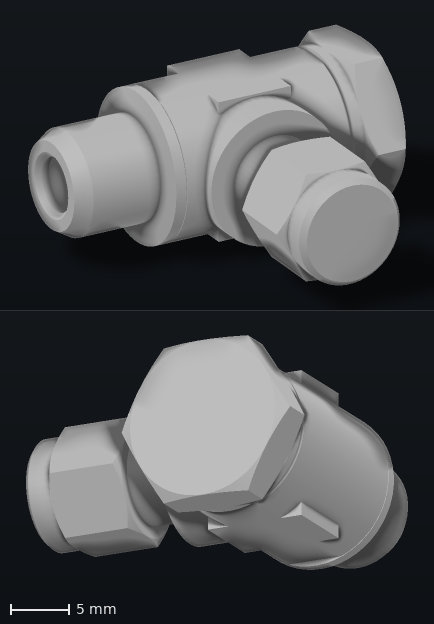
import cadquery as cq
import math


overall_length = 31.0

head_across_flats = 14.0
head_end_y = 13.5
head_seat_y = 9.5

washer_radius = 7.0
washer_rim_width = 1.02
washer_cone_angle = math.radians(9.3)
upper_rim_gap = 0.1

body_radius = 7.0
body_top_y = 8.4
body_bottom_y = -8.03
body_chamfer = 0.35
body_across_flats = 13.08
grip_width = 9.0
grip_length = 7.1

stem_radius = 4.87
stem_seat_y = -9.5
stem_end_y = head_end_y - overall_length
stem_tip_radius = 4.03
stem_tip_length = 1.43
bore_radius = 2.48
bore_chamfer = 0.5
bore_depth = 1.15

boss_radius = 6.25
boss_end_x = 8.0
neck_radius = 3.97
nut_across_flats = 10.0
nut_start_x = 12.05
nut_end_x = 19.0
collar_radius = 4.95
collar_end_x = 21.48
collar_chamfer = 0.5

hex_face_inset = 0.03
hex_cone_angle = math.radians(30)


def turned_on_y(profile):
    """Solid of revolution about Y from (radius, y) points."""
    return cq.Workplane("XY").polyline(profile).close().revolve(360, (0, 0, 0), (0, 1, 0))


def cylinder_on_x(radius, start_x, end_x):
    return cq.Workplane("YZ", origin=(start_x, 0, 0)).circle(radius).extrude(end_x - start_x)


def hexagon(across_flats, length):
    """Hexagonal prism along +Z with corners on X and both ends coned."""
    corner_diameter = across_flats / math.cos(math.pi / 6)
    corner_radius = corner_diameter / 2
    face_radius = across_flats / 2 - hex_face_inset
    cone_length = (corner_radius - face_radius) * math.tan(hex_cone_angle)
    envelope = (
        cq.Workplane("XZ")
        .polyline([
            (0, 0),
            (face_radius, 0),
            (corner_radius, cone_length),
            (corner_radius, length - cone_length),
            (face_radius, length),
            (0, length),
        ])
        .close()
        .revolve(360, (0, 0, 0), (0, 1, 0))
    )
    return cq.Workplane("XY").polygon(6, corner_diameter).extrude(length).intersect(envelope)


def bolt_head():
    blank = hexagon(head_across_flats, head_end_y - head_seat_y)
    return blank.rotate((0, 0, 0), (1, 0, 0), -90).translate((0, head_seat_y, 0))


def upper_washer():
    rim_y = body_top_y + upper_rim_gap
    contact_radius = washer_radius - upper_rim_gap / math.tan(washer_cone_angle)
    return turned_on_y([
        (0, body_top_y),
        (contact_radius, body_top_y),
        (washer_radius, rim_y),
        (washer_radius, head_seat_y),
        (0, head_seat_y),
    ])


def lower_washer():
    cone_length = (washer_radius - stem_radius) * math.tan(washer_cone_angle)
    rim_bottom_y = stem_seat_y + cone_length
    rim_top_y = rim_bottom_y + washer_rim_width
    contact_radius = washer_radius - (body_bottom_y - rim_top_y) / math.tan(washer_cone_angle)
    return turned_on_y([
        (0, stem_seat_y),
        (stem_radius, stem_seat_y),
        (washer_radius, rim_bottom_y),
        (washer_radius, rim_top_y),
        (contact_radius, body_bottom_y),
        (0, body_bottom_y),
    ])


def banjo_body():
    """Barrel flattened on +Z and -Z, with a square-cornered grip block through it."""
    barrel = turned_on_y([
        (0, body_bottom_y),
        (body_radius, body_bottom_y),
        (body_radius, body_top_y - body_chamfer),
        (body_radius - body_chamfer, body_top_y),
        (0, body_top_y),
    ])
    flats = cq.Workplane("XY").box(2 * body_radius, 2 * body_top_y, body_across_flats)
    grip = cq.Workplane("XY").box(grip_width, grip_length, body_across_flats)
    return barrel.intersect(flats).union(grip)


def stem():
    bore_mouth_radius = bore_radius + bore_chamfer
    return turned_on_y([
        (0, stem_seat_y),
        (stem_radius, stem_seat_y),
        (stem_radius, stem_end_y + stem_tip_length),
        (stem_tip_radius, stem_end_y),
        (bore_mouth_radius, stem_end_y),
        (bore_radius, stem_end_y + bore_chamfer),
        (bore_radius, stem_end_y + bore_depth),
        (0, stem_end_y + bore_depth),
    ])


def tube_branch():
    boss = cylinder_on_x(boss_radius, 0, boss_end_x)
    neck = cylinder_on_x(neck_radius, 0, nut_start_x)
    nut = (
        hexagon(nut_across_flats, nut_end_x - nut_start_x)
        .rotate((0, 0, 0), (0, 0, 1), 90)
        .rotate((0, 0, 0), (0, 1, 0), 90)
        .translate((nut_start_x, 0, 0))
    )
    collar = cylinder_on_x(collar_radius, nut_end_x, collar_end_x).faces(">X").chamfer(collar_chamfer)
    return boss.union(neck).union(nut).union(collar)


result = (
    banjo_body()
    .union(upper_washer())
    .union(bolt_head())
    .union(lower_washer())
    .union(stem())
    .union(tube_branch())
)